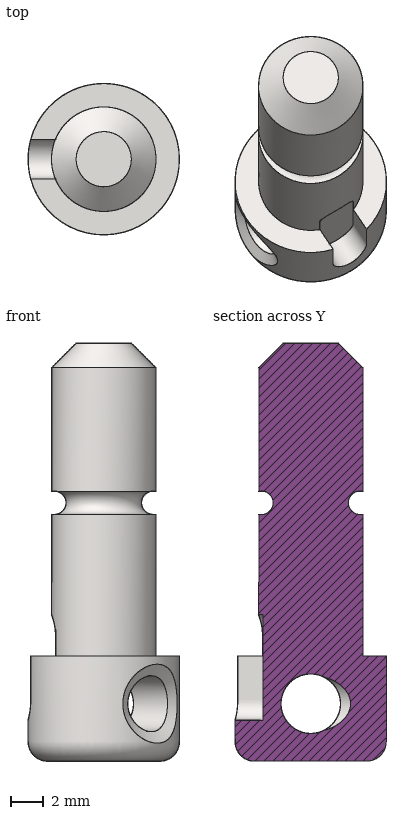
import cadquery as cq
import math

total_height = 25.4
head_diameter = 9.2
head_height = 6.4
head_round = 1.2
shank_diameter = 6.35
tip_chamfer = 1.5

groove_bottom = 15.0
groove_width = 1.4
groove_edge_diameter = 6.0
groove_floor_diameter = 4.6

slot_width = 2.4
slot_bottom = 2.5
slot_top = 8.9
slot_floor_offset = 2.9

bore_height = 3.5
side_bore_diameter = 3.4
side_bore_angle = -45
back_bore_diameter = 3.6
back_bore_angle = 90
mouth_chamfer_spread = 0.7
mouth_chamfer_depth = 0.5

head_radius = head_diameter / 2
shank_radius = shank_diameter / 2


def make_head():
    """Plain cylindrical head."""
    return cq.Workplane("XY").circle(head_radius).extrude(head_height)


def cut_bore(head, diameter, angle):
    """Bore from the axis outwards and chamfer its mouth on the curved side."""
    direction = cq.Vector(math.cos(math.radians(angle)), math.sin(math.radians(angle)), 0)
    axis_point = cq.Vector(0, 0, bore_height)
    bore = cq.Solid.makeCylinder(diameter / 2, head_diameter, axis_point, direction)
    drilled = head.cut(cq.Workplane(obj=bore)).val()
    mouth_point = axis_point + direction * head_radius
    mouth = min(drilled.Edges(), key=lambda edge: (edge.Center() - mouth_point).Length)
    return cq.Workplane(obj=drilled.chamfer(mouth_chamfer_spread, mouth_chamfer_depth, [mouth]))


def round_head_bottom(head):
    """Trim the head to a cylinder with a rounded bottom rim."""
    envelope = make_head().faces("<Z").edges().fillet(head_round)
    return head.intersect(envelope)


def make_shank():
    """Shank from the head to the bevelled tip."""
    shank = (
        cq.Workplane("XY")
        .workplane(offset=head_height)
        .circle(shank_radius)
        .extrude(total_height - head_height)
    )
    return shank.faces(">Z").edges().chamfer(tip_chamfer)


def make_groove():
    """Ring to remove from the shank, drawn in the XZ plane and revolved about Z."""
    groove_top = groove_bottom + groove_width
    edge_radius = groove_edge_diameter / 2
    floor_point = (groove_floor_diameter / 2, groove_bottom + groove_width / 2)
    return (
        cq.Workplane("XZ")
        .moveTo(head_radius, groove_bottom)
        .lineTo(edge_radius, groove_bottom)
        .threePointArc(floor_point, (edge_radius, groove_top))
        .lineTo(head_radius, groove_top)
        .close()
        .revolve(360, (0, 0, 0), (0, 1, 0))
    )


def make_slot():
    """Keyway cutter reaching outwards from the flat slot floor."""
    slot_height = slot_top - slot_bottom
    return (
        cq.Workplane("YZ", origin=(-slot_floor_offset, 0, slot_bottom + slot_height / 2))
        .slot2D(slot_height, slot_width, 90)
        .extrude(-head_radius)
    )


head = make_head()
head = cut_bore(head, side_bore_diameter, side_bore_angle)
head = cut_bore(head, back_bore_diameter, back_bore_angle)
head = round_head_bottom(head)

result = head.union(make_shank()).cut(make_groove()).cut(make_slot())